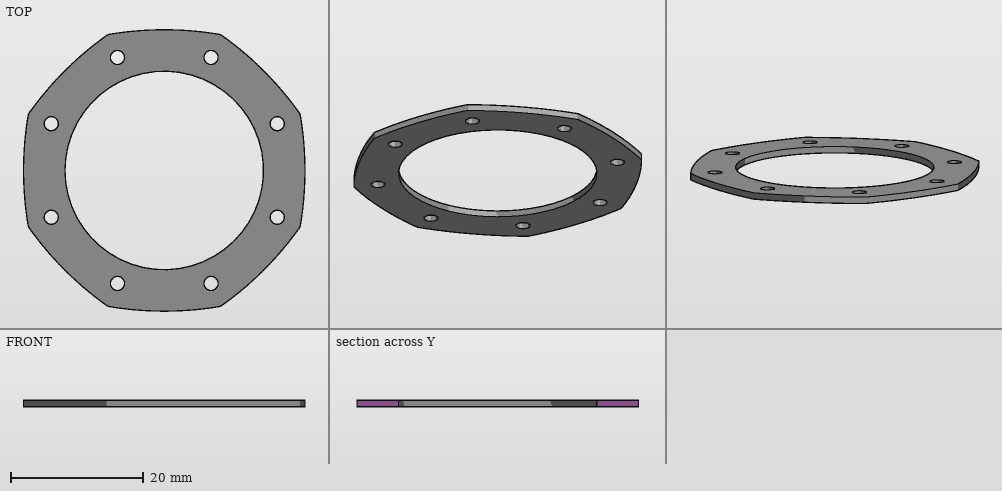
import cadquery as cq
import math

WIDTH_ACROSS_SIDES = 42.61
THICKNESS = 1.0
BORE_DIAMETER = 30.0
HOLE_DIAMETER = 2.1
HOLE_CIRCLE_RADIUS = 18.5
SIDE_COUNT = 8
SIDE_RADIUS = 50.0
FACETS_PER_SIDE = 32
CORNER_RADIUS = 1.0

APOTHEM = WIDTH_ACROSS_SIDES / 2
PITCH = 2 * math.pi / SIDE_COUNT
HALF_PITCH = PITCH / 2

SIDE_CENTRE_OFFSET = SIDE_RADIUS - APOTHEM
CENTRE_DISTANCE = SIDE_RADIUS - CORNER_RADIUS
CORNER_CENTRE_RADIUS = (
    math.sqrt(CENTRE_DISTANCE**2 - (SIDE_CENTRE_OFFSET * math.sin(HALF_PITCH)) ** 2)
    - SIDE_CENTRE_OFFSET * math.cos(HALF_PITCH)
)
SIDE_HALF_ANGLE = math.asin(CORNER_CENTRE_RADIUS * math.sin(HALF_PITCH) / CENTRE_DISTANCE)


def polar(radius, angle):
    """Point at a radius and angle about the plate axis."""
    return (radius * math.cos(angle), radius * math.sin(angle))


def side_point(side_angle, arc_angle):
    """Point on the side facing side_angle, arc_angle away from the middle of that side."""
    centre_x, centre_y = polar(-SIDE_CENTRE_OFFSET, side_angle)
    reach_x, reach_y = polar(SIDE_RADIUS, side_angle + arc_angle)
    return (centre_x + reach_x, centre_y + reach_y)


def make_plate():
    """Eight-sided plate with rounded corners; each bulged side is a run of narrow flat facets."""
    facet_angle = 2 * SIDE_HALF_ANGLE / FACETS_PER_SIDE
    corner_tip_radius = CORNER_CENTRE_RADIUS + CORNER_RADIUS
    outline = cq.Workplane("XY").moveTo(*side_point(0, -SIDE_HALF_ANGLE))
    for index in range(SIDE_COUNT):
        side_angle = index * PITCH
        for facet in range(1, FACETS_PER_SIDE + 1):
            facet_end = side_point(side_angle, facet * facet_angle - SIDE_HALF_ANGLE)
            outline = outline.lineTo(*facet_end)

        corner_tip = polar(corner_tip_radius, side_angle + HALF_PITCH)
        next_side_start = side_point(side_angle + PITCH, -SIDE_HALF_ANGLE)
        outline = outline.threePointArc(corner_tip, next_side_start)
    return outline.close().extrude(THICKNESS)


def cut_bore(plate):
    """Large round opening through the middle."""
    return plate.faces(">Z").workplane(origin=(0, 0, THICKNESS)).hole(BORE_DIAMETER)


def cut_bolt_holes(plate):
    """One through hole behind each corner."""
    centres = [polar(HOLE_CIRCLE_RADIUS, index * PITCH + HALF_PITCH) for index in range(SIDE_COUNT)]
    return plate.faces(">Z").workplane(origin=(0, 0, THICKNESS)).pushPoints(centres).hole(HOLE_DIAMETER)


result = cut_bolt_holes(cut_bore(make_plate()))